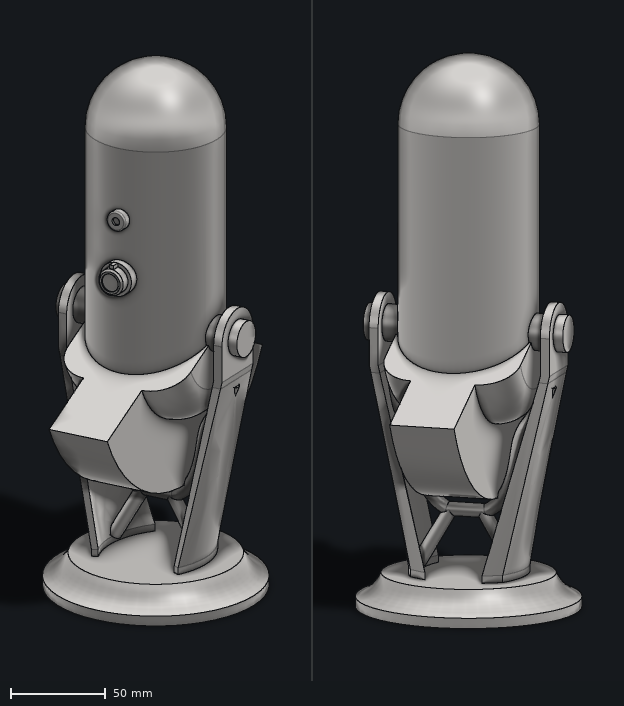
import cadquery as cq
import math

base_radius = 120.0 / 2
base_rim_height = 5.7
base_height = 18.5
base_top_radius = 46.5
base_flare_mid = (51.2, 11.0)

overall_height = 297.5
mic_radius = 37.5
dome_base_z = overall_height - mic_radius

pivot_z = 150.2
pin_radius = 20.0 / 2
pin_outer_x = 55.3

cradle_slope = 25
cradle_hub_radius = 50.0
fan_span = 163.0
fan_radius = fan_span / 2 / math.cos(math.radians(cradle_slope))
fan_width = 35.7
cradle_fillet = mic_radius - fan_width / 2

lug_radius = 16.5
lug_inner_x = 45.0
plate_thickness = 5.0
lug_bottom_z = 130.0
bend_bottom_z = 126.0
bend_shift = 1.0
foot_top_z = 22.3
foot_outer_front = (26.5, -22.0)
foot_outer_middle = (31.5, 0)
foot_outer_back = (25.5, 21.0)
foot_inner_back = (15.8, 26.5)
foot_inner_middle = (26.5, 1.5)
foot_inner_front = (23.2, -20.5)

tube_radius = 4.0
truss_y = 2.5
truss_bar_z = 52.7
truss_node = (10.7, truss_bar_z)
truss_arm_points = [(23.0, 65.5), (27.7, 83.3), (30.5, 95.8), (37.8, 106.5), (42.2, 114.5)]
truss_arm_end = (45.5, 122.3)
truss_strut_top = (9, truss_bar_z)
truss_foot = (26.5, 23.2)

control_embed = 3
control_root_y = control_embed - mic_radius
flange_face_y = -42.0
button_z = 220.2
button_radius = 5.7
button_edge_fillet = 1.0
button_recess_radius = 2.23
button_recess_depth = 1.5
knob_z = 187.5
knob_flange_radius = 9.5
knob_hub_radius = 7.5
knob_face_y = -48.2
knob_chamfer = 1.2
knob_recess_radius = 5.0
knob_recess_depth = 1.0
pointer_width = 2.7
pointer_face_y = -46.5


def make_base():
    return (
        cq.Workplane("XZ")
        .lineTo(base_radius, 0)
        .lineTo(base_radius, base_rim_height)
        .threePointArc(base_flare_mid, (base_top_radius, base_height))
        .lineTo(0, base_height)
        .close()
        .revolve(360, (0, 0), (0, 1))
    )


def x_cylinder(radius, x_start, x_end):
    """Cylinder about the pivot axis."""
    return (
        cq.Workplane("YZ", origin=(x_start, 0, pivot_z))
        .circle(radius)
        .extrude(x_end - x_start)
    )


def y_cylinder(radius, z, y_back, y_front):
    """Cylinder along Y, from y_back forward to y_front."""
    return cq.Workplane("XZ", origin=(0, y_back, z)).circle(radius).extrude(y_back - y_front)


def make_pin():
    """One pin through both lugs, the cradle and the microphone."""
    return x_cylinder(pin_radius, -pin_outer_x, pin_outer_x)


def mic_cylinder():
    return cq.Workplane("XY").circle(mic_radius).extrude(dome_base_z)


def below_slopes():
    """Wedge of space under the two sloping planes through the pivot."""
    reach = 2 * fan_radius
    drop = reach * math.tan(math.radians(cradle_slope))
    return (
        cq.Workplane("YZ", origin=(-mic_radius, 0, pivot_z))
        .polyline([(0, 0), (reach, -drop), (reach, -2 * reach), (-reach, -2 * reach), (-reach, -drop)])
        .close()
        .extrude(2 * mic_radius)
    )


def make_cradle(pin):
    hub = x_cylinder(cradle_hub_radius, -mic_radius, mic_radius).edges().fillet(cradle_fillet)
    fan = x_cylinder(fan_radius, -fan_width / 2, fan_width / 2)
    return hub.union(fan).intersect(below_slopes()).cut(pin)


def make_mic(pin):
    """Domed cylinder whose V-shaped underside rests on the slopes of the cradle."""
    dome = cq.Workplane("XY", origin=(0, 0, dome_base_z)).sphere(mic_radius)
    return mic_cylinder().union(dome).cut(below_slopes()).cut(pin)


def plate_section(z, inner_x):
    """Rectangular leg section at height z."""
    outer_x = inner_x + plate_thickness
    corners = [(outer_x, -lug_radius), (outer_x, lug_radius), (inner_x, lug_radius), (inner_x, -lug_radius)]
    return cq.Workplane("XY", origin=(0, 0, z)).polyline(corners).close().val()


def foot_outline(z):
    """Curved leg section at height z, bulging toward +X."""
    return (
        cq.Workplane("XY", origin=(0, 0, z))
        .moveTo(*foot_outer_front)
        .threePointArc(foot_outer_middle, foot_outer_back)
        .lineTo(*foot_inner_back)
        .threePointArc(foot_inner_middle, foot_inner_front)
        .close()
    )


def make_leg(side, pin, truss):
    """Lug, bend, plate and curved foot, bored for the pin and recessed for the truss tubes."""
    lug_drop = pivot_z - lug_bottom_z
    lug = (
        cq.Workplane("YZ", origin=(lug_inner_x, 0, pivot_z))
        .moveTo(-lug_radius, -lug_drop)
        .lineTo(lug_radius, -lug_drop)
        .lineTo(lug_radius, 0)
        .threePointArc((0, lug_radius), (-lug_radius, 0))
        .close()
        .extrude(plate_thickness)
    )
    bend_section = plate_section(bend_bottom_z, lug_inner_x - bend_shift)
    bend = cq.Solid.makeLoft([plate_section(lug_bottom_z, lug_inner_x), bend_section], True)
    plate = cq.Solid.makeLoft([bend_section, foot_outline(foot_top_z).val()], True)
    foot = foot_outline(base_height).extrude(foot_top_z - base_height)
    leg = lug.union(bend).union(plate).union(foot)
    if side < 0:
        leg = leg.mirror("YZ")
    return leg.cut(pin).cut(truss)


def truss_point(x, z):
    return cq.Vector(x, truss_y, z)


def straight_tube(start, end):
    axis = end - start
    return cq.Workplane(cq.Solid.makeCylinder(tube_radius, axis.Length, start, axis))


def make_truss_side():
    """Rounded node, strut down to the foot and curved arm up to the bend, on the +X side."""
    node_point = truss_point(*truss_node)
    node = cq.Workplane("XY", origin=node_point.toTuple()).sphere(tube_radius)
    strut = straight_tube(truss_point(*truss_strut_top), truss_point(*truss_foot))
    arm_path = cq.Edge.makeSpline(
        [truss_point(*place) for place in [truss_node, *truss_arm_points, truss_arm_end]]
    )
    arm_start = cq.Plane(node_point, normal=arm_path.tangentAt(0))
    arm = cq.Workplane(arm_start).circle(tube_radius).sweep(cq.Workplane(cq.Wire.assembleEdges([arm_path])))
    return node.union(strut).union(arm)


def make_truss(cradle):
    """Both sides joined by the bar, with the arms notched where they pass the lower corners of the fan."""
    node_x = truss_node[0]
    bar = straight_tube(truss_point(-node_x, truss_bar_z), truss_point(node_x, truss_bar_z))
    side = make_truss_side()
    return bar.union(side).union(side.mirror("YZ")).cut(cradle)


def make_button():
    button = y_cylinder(button_radius, button_z, control_root_y, flange_face_y)
    button = button.faces("<Y").edges().fillet(button_edge_fillet)
    recess = y_cylinder(button_recess_radius, button_z, flange_face_y + button_recess_depth, flange_face_y)
    return button.cut(recess).cut(mic_cylinder())


def make_knob():
    flange = y_cylinder(knob_flange_radius, knob_z, control_root_y, flange_face_y)
    hub = y_cylinder(knob_hub_radius, knob_z, control_root_y, knob_face_y).faces("<Y").chamfer(knob_chamfer)
    pointer = cq.Workplane("XY").box(
        pointer_width, flange_face_y - pointer_face_y, knob_flange_radius, centered=(True, False, False)
    ).translate((0, pointer_face_y, knob_z))
    recess = y_cylinder(knob_recess_radius, knob_z, knob_face_y + knob_recess_depth, knob_face_y)
    return flange.union(hub).union(pointer).cut(recess).cut(mic_cylinder())


base = make_base()
pin = make_pin()
cradle = make_cradle(pin)
mic = make_mic(pin)
truss = make_truss(cradle)
legs = [make_leg(side, pin, truss) for side in (-1, 1)]
button = make_button()
knob = make_knob()

result = cq.Compound.makeCompound(
    [
        base.val(),
        *[leg.val() for leg in legs],
        truss.val(),
        pin.val(),
        cradle.val(),
        mic.val(),
        button.val(),
        knob.val(),
    ]
)